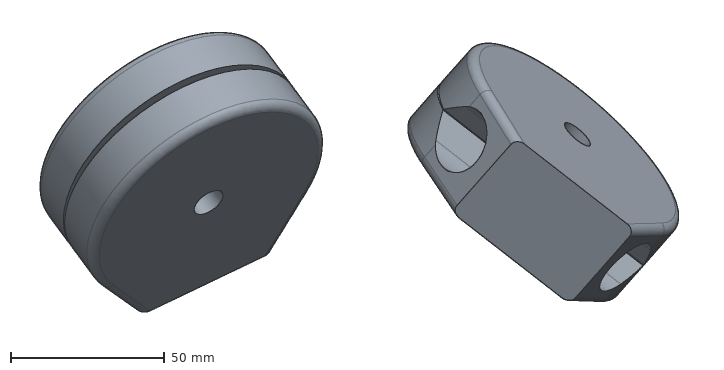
import cadquery as cq
import math

height = 89.9
disc_diameter = 88.9
disc_radius = disc_diameter / 2
disc_center_z = height - disc_radius
flank_angle = math.radians(30)
base_thickness = 33.35
base_half_thickness = base_thickness / 2
jaw_lean = math.radians(1)
edge_radius = 3.0

bore_radius = 10.8
bore_center_z = 16.7
bolt_hole_radius = 5.5
split_vertex_z = 24.3

bore_tangent = bore_radius * math.sin(math.radians(45))
bore_apex_z = bore_center_z + bore_radius * math.sqrt(2)

tangent_y = disc_radius * math.cos(flank_angle)
tangent_z = disc_center_z - disc_radius * math.sin(flank_angle)
foot_half_width = tangent_y - tangent_z * math.tan(flank_angle)

top_half_thickness = base_half_thickness + height * math.tan(jaw_lean)


def make_body():
    """Disc-and-foot outline limited to a thickness that grows upwards."""
    outline = (
        cq.Workplane("YZ")
        .moveTo(-foot_half_width, 0)
        .lineTo(-tangent_y, tangent_z)
        .threePointArc((0, height), (tangent_y, tangent_z))
        .lineTo(foot_half_width, 0)
        .close()
        .extrude(top_half_thickness, both=True)
    )
    wedge = (
        cq.Workplane("XZ")
        .polyline([
            (-base_half_thickness, 0),
            (-top_half_thickness, height),
            (top_half_thickness, height),
            (base_half_thickness, 0),
        ])
        .close()
        .extrude(disc_radius, both=True)
    )
    return outline.intersect(wedge)


def round_outer_edges(body):
    """Round the rim of both outer faces, leaving the base edges sharp."""
    outer_faces = body.faces("<X or >X")
    return outer_faces.edges("not <Z").fillet(edge_radius)


def make_teardrop_bore():
    """Bore along Y with a pointed roof."""
    return (
        cq.Workplane("XZ")
        .moveTo(-bore_tangent, bore_center_z + bore_tangent)
        .threePointArc(
            (0, bore_center_z - bore_radius),
            (bore_tangent, bore_center_z + bore_tangent),
        )
        .lineTo(0, bore_apex_z)
        .close()
        .extrude(disc_radius, both=True)
    )


def make_split():
    """V-shaped gap between the jaws, narrowing towards the bore."""
    half_gap = (height - split_vertex_z) * math.tan(jaw_lean)
    return (
        cq.Workplane("XZ")
        .polyline([(0, split_vertex_z), (half_gap, height), (-half_gap, height)])
        .close()
        .extrude(disc_radius, both=True)
    )


def make_bolt_hole():
    """Hole along X through both jaws at the disc centre."""
    return (
        cq.Workplane("YZ")
        .center(0, disc_center_z)
        .circle(bolt_hole_radius)
        .extrude(top_half_thickness, both=True)
    )


rounded_body = round_outer_edges(make_body())
bored_body = rounded_body.cut(make_teardrop_bore()).cut(make_bolt_hole())
result = bored_body.cut(make_split())